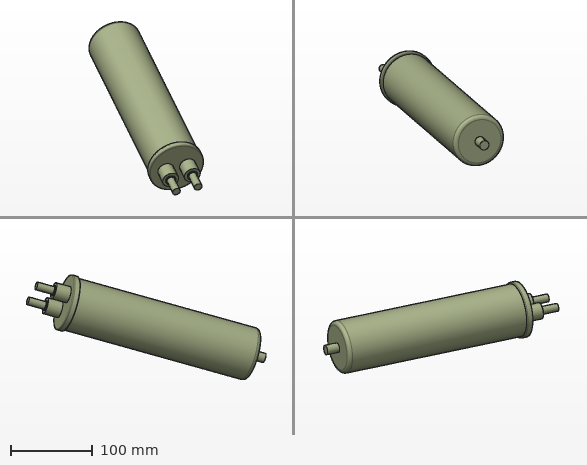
import cadquery as cq

overall_length = 306.0

stud_diameter = 12.0
stud_length = 16.0

can_diameter = 66.0
can_length = 240.0
can_edge_radius = 5.0

rim_diameter = 70.0
rim_width = 8.0
rim_edge_radius = 1.0

terminal_spacing = 28.0
boss_diameter = 20.5
boss_length = 19.0
collar_diameter = 13.0
collar_length = 1.0
pin_diameter = 10.0

rim_start = can_length
rim_end = rim_start + rim_width
boss_end = rim_end + boss_length
collar_end = boss_end + collar_length
pin_end = overall_length - stud_length


def cylinder(diameter, x_start, x_end, y=0.0):
    """Solid cylinder parallel to X between two stations."""
    return (
        cq.Workplane("YZ", origin=(x_start, y, 0))
        .circle(diameter / 2)
        .extrude(x_end - x_start)
    )


def make_can():
    """Can body with its closed end rounded."""
    return cylinder(can_diameter, 0, rim_end).faces("<X").edges().fillet(can_edge_radius)


def make_rim():
    """Rim with both outer edges rounded."""
    return cylinder(rim_diameter, rim_start, rim_end).edges("%CIRCLE").fillet(rim_edge_radius)


def make_terminal(y):
    """Stepped terminal standing on the rim face."""
    boss = cylinder(boss_diameter, rim_end, boss_end, y)
    collar = cylinder(collar_diameter, boss_end, collar_end, y)
    pin = cylinder(pin_diameter, collar_end, pin_end, y)
    return boss.union(collar).union(pin)


stud = cylinder(stud_diameter, -stud_length, 0)

result = make_can().union(make_rim()).union(stud)
for side in (-1, 1):
    result = result.union(make_terminal(side * terminal_spacing / 2))